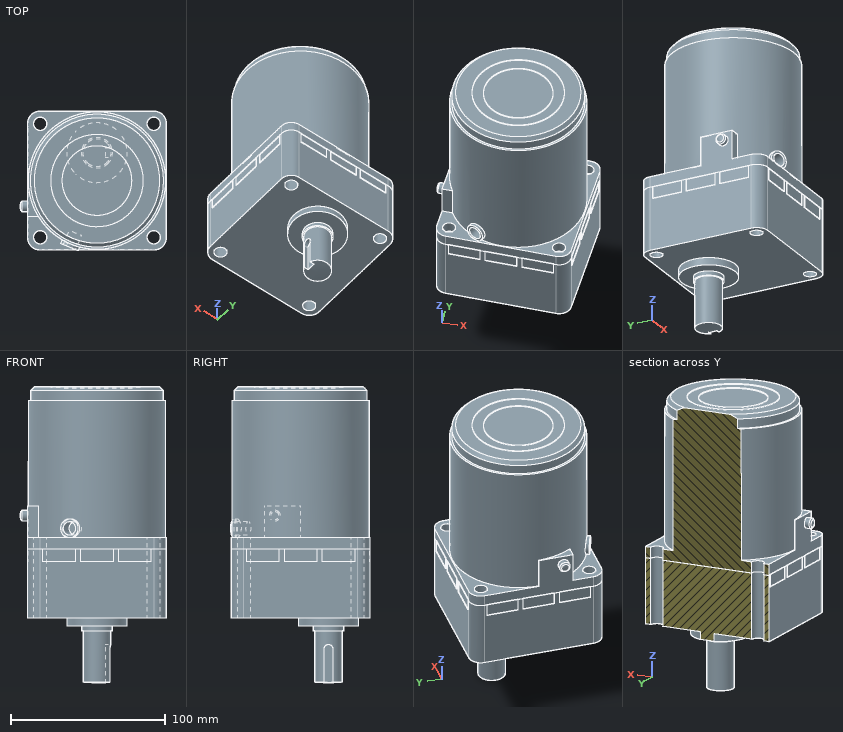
import cadquery as cq
import math


square_side = 90.0
corner_radius = 8.0
bolt_spacing = 73.5
bolt_hole_diameter = 8.5

gearhead_height = 45.0
window_width = 21.1
window_height = 8.3
window_pitch = 24.5
window_depth = 0.4
windows_per_side = 3
shaft_offset = 18.0
boss_diameter = 39.0
boss_height = 5.2
collar_diameter = 20.0
collar_height = 3.0
shaft_diameter = 18.0
shaft_length = 33.8
shaft_crown = 0.5
keyway_width = 6.0
keyway_depth = 3.5
keyway_length = 25.0

flange_height = 7.5
barrel_diameter = 89.0
barrel_height = 88.7
cap_diameter = 86.2
cap_height = 8.8
cap_chamfer = 2.5
cap_ring_diameter = 60.0
cap_disc_diameter = 45.1
cap_step_depth = 0.5

lug_width = 23.2
lug_height = 20.2
lug_inset = 17.3
screw_diameter = 7.1
screw_y = -16.7
screw_height = 14.0
screw_length = 4.8
screw_chamfer = 1.0
screw_crown = 0.4

outlet_angle = 22.5
outlet_diameter = 12.3
outlet_bore = 8.6
outlet_reach = 46.7
outlet_bore_depth = 10.0
outlet_height = 5.8
outlet_root = 34.5

flange_top = gearhead_height + flange_height
barrel_top = flange_top + barrel_height
cap_top = barrel_top + cap_height


def square_block(bottom, height):
    """Block with rounded corners and the four bolt holes."""
    return (
        cq.Workplane("XY", origin=(0, 0, bottom))
        .rect(square_side, square_side)
        .extrude(height)
        .edges("|Z")
        .fillet(corner_radius)
        .faces(">Z")
        .workplane(origin=(0, 0, bottom))
        .rect(bolt_spacing, bolt_spacing, forConstruction=True)
        .vertices()
        .hole(bolt_hole_diameter)
    )


def crowned_pin(radius, length, crown, chamfer=0.0):
    """Pin along +Z from the origin to `length`, with an optional chamfer and a crowned end."""
    rim_radius = radius - chamfer
    rim_height = length - crown
    crown_radius = (rim_radius**2 + crown**2) / (2 * crown)
    mid_x = rim_radius / 2
    mid_height = length - crown_radius + math.sqrt(crown_radius**2 - mid_x**2)
    profile = cq.Workplane("XZ").lineTo(radius, 0).lineTo(radius, rim_height - chamfer)
    if chamfer > 0:
        profile = profile.lineTo(rim_radius, rim_height)
    return (
        profile.threePointArc((mid_x, mid_height), (0, length))
        .close()
        .revolve(360, (0, 0, 0), (0, 1, 0))
    )


def side_windows():
    """Shallow rectangles in a row under the top edge, on all four sides."""
    cutters = cq.Workplane("XY")
    for side in range(4):
        row = (
            cq.Workplane("XY", origin=(0, -square_side / 2, gearhead_height - window_height / 2))
            .rarray(window_pitch, 2, windows_per_side, 1)
            .box(window_width, 2 * window_depth, window_height)
        )
        cutters = cutters.add(row.rotate((0, 0, 0), (0, 0, 1), 90 * side))
    return cutters.combine()


def output_shaft():
    """Shaft pointing down from the gear head, with a crowned end."""
    shaft_total = boss_height + collar_height + shaft_length
    shaft = crowned_pin(shaft_diameter / 2, shaft_total, shaft_crown)
    return shaft.mirror("XY").translate((0, shaft_offset, 0))


def keyway():
    """Slot in the +X side of the shaft, round at the top and open at the shaft end."""
    shaft_end = -boss_height - collar_height - shaft_length
    round_center = shaft_end + keyway_length - keyway_width / 2
    floor_x = shaft_diameter / 2 - keyway_depth
    return (
        cq.Workplane("YZ", origin=(floor_x, shaft_offset, 0))
        .moveTo(-keyway_width / 2, shaft_end)
        .lineTo(keyway_width / 2, shaft_end)
        .lineTo(keyway_width / 2, round_center)
        .threePointArc((0, shaft_end + keyway_length), (-keyway_width / 2, round_center))
        .close()
        .extrude(keyway_depth)
    )


def build_gearhead():
    boss = (
        cq.Workplane("XY", origin=(0, shaft_offset, 0))
        .circle(boss_diameter / 2)
        .extrude(-boss_height)
    )
    collar = (
        cq.Workplane("XY", origin=(0, shaft_offset, 0))
        .circle(collar_diameter / 2)
        .extrude(-boss_height - collar_height)
    )
    housing = square_block(0, gearhead_height).cut(side_windows())
    return housing.union(boss).union(collar).union(output_shaft().cut(keyway())).solids()


def end_cap():
    """Chamfered cap with two concentric steps going down toward its middle."""
    return (
        cq.Workplane("XY", origin=(0, 0, barrel_top))
        .circle(cap_diameter / 2)
        .extrude(cap_height)
        .faces(">Z")
        .chamfer(cap_chamfer)
        .faces(">Z")
        .workplane(origin=(0, 0, cap_top))
        .circle(cap_ring_diameter / 2)
        .cutBlind(-cap_step_depth)
        .faces(">Z")
        .workplane(origin=(0, 0, cap_top))
        .circle(cap_disc_diameter / 2)
        .cutBlind(-2 * cap_step_depth)
    )


def earthing_lug():
    """Block flush with the -X side of the flange, running from Y = 0 toward -Y."""
    return cq.Workplane("XY").box(
        lug_inset, lug_width, lug_height, centered=False
    ).translate((-square_side / 2, -lug_width, flange_top))


def earthing_screw():
    screw = crowned_pin(screw_diameter / 2, screw_length, screw_crown, screw_chamfer)
    return screw.rotate((0, 0, 0), (0, 1, 0), -90).translate(
        (-square_side / 2, screw_y, flange_top + screw_height)
    )


def outlet_cylinder(diameter, start, end):
    """Cylinder on the outlet axis, between two distances from the motor axis."""
    cylinder = (
        cq.Workplane("XZ", origin=(0, -start, flange_top + outlet_height))
        .circle(diameter / 2)
        .extrude(end - start)
    )
    return cylinder.rotate((0, 0, 0), (0, 0, 1), -outlet_angle)


def build_motor():
    barrel = (
        cq.Workplane("XY", origin=(0, 0, flange_top))
        .circle(barrel_diameter / 2)
        .extrude(barrel_height)
    )
    outlet = outlet_cylinder(outlet_diameter, outlet_root, outlet_reach)
    bore = outlet_cylinder(outlet_bore, outlet_reach - outlet_bore_depth, outlet_reach)
    return (
        square_block(gearhead_height, flange_height)
        .union(barrel)
        .union(end_cap())
        .union(earthing_lug())
        .union(earthing_screw())
        .union(outlet)
        .cut(bore)
        .solids()
    )


gearhead = build_gearhead()
motor = build_motor()
result = cq.Compound.makeCompound([gearhead.val(), motor.val()])